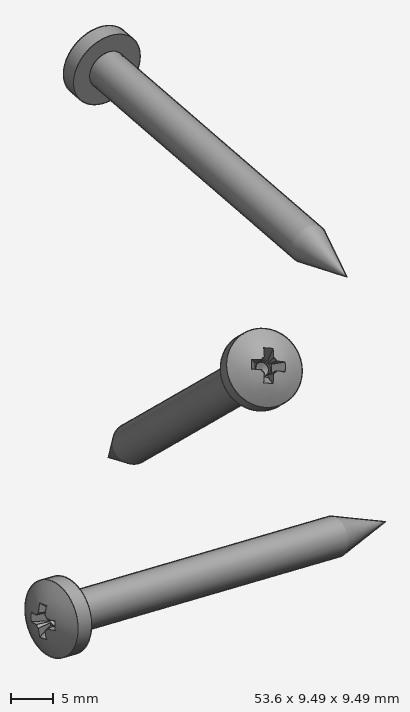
import cadquery as cq
import math

length = 53.65
head_radius = 4.745
head_length = 3.65
dome_height = 1.6
shank_radius = 2.45
point_length = 8.0

wing_reach = 2.3
wing_floor_reach = 1.0
wing_depth = 1.95
wing_width = 1.2
core_depth = 2.45
core_rim_radius = 1.1
core_floor_radius = 0.85
core_tip_length = 0.5

dome_radius = (head_radius**2 + dome_height**2) / (2 * dome_height)
crown_height = dome_radius - math.sqrt(dome_radius**2 - core_rim_radius**2)
apex_x = -crown_height
dome_base_x = apex_x + dome_height
quarter_radius = head_radius / 2
quarter_x = apex_x + dome_radius - math.sqrt(dome_radius**2 - quarter_radius**2)


def make_body():
    """Revolve the domed head, shank and pointed end around X."""
    profile = (
        cq.Workplane("XY")
        .moveTo(apex_x, 0)
        .threePointArc((quarter_x, quarter_radius), (dome_base_x, head_radius))
        .lineTo(head_length, head_radius)
        .lineTo(head_length, shank_radius)
        .lineTo(length - point_length, shank_radius)
        .lineTo(length, 0)
        .close()
    )
    return profile.revolve(360, (0, 0, 0), (1, 0, 0))


def make_wing_pair():
    """Two opposite wings whose ends slope inward to meet the core."""
    return (
        cq.Workplane("XY")
        .polyline([
            (apex_x, -wing_reach),
            (apex_x, wing_reach),
            (wing_depth, wing_floor_reach),
            (wing_depth, -wing_floor_reach),
        ])
        .close()
        .extrude(wing_width / 2, both=True)
    )


def make_core():
    """Tapered centre of the recess, ending in a shallow cone."""
    return (
        cq.Workplane("XY")
        .polyline([
            (apex_x, 0),
            (apex_x, core_rim_radius),
            (0, core_rim_radius),
            (core_depth, core_floor_radius),
            (core_depth + core_tip_length, 0),
        ])
        .close()
        .revolve(360, (0, 0, 0), (1, 0, 0))
    )


result = make_body().cut(make_core())
for angle in (0, 90):
    result = result.cut(make_wing_pair().rotate((0, 0, 0), (1, 0, 0), angle))